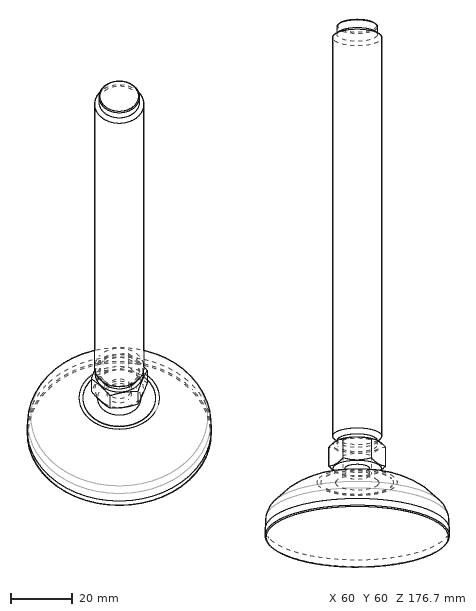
import cadquery as cq
import math

total_height = 176.7
base_diameter = 60.0
base_radius = base_diameter / 2

pad_height = 2.7
pad_chamfer = 0.4

wall_top_radius = 29.9
wall_top_z = 6.4
shoulder_mid_radius = 29.3
shoulder_mid_z = 8.0
dome_base_radius = 28.8
dome_base_z = 9.0
dome_mid_radius = 21.7
dome_mid_z = 15.4
dome_top_radius = 13.0
foot_top_z = 18.9
recess_radius = 11.8
recess_floor_z = 18.7

flare_radius = 7.0
flare_height = 2.7
neck_radius = 8.1 / 2
hex_width = 16.0
hex_bottom_z = 23.7
hex_top_z = 31.8
hex_chamfer_radius = 15.7 / 2
relief_radius = 13.0 / 2
rod_radius = 16.0 / 2
rod_bottom_z = 34.8
tip_radius = 13.3 / 2
tip_length = 3.0
tip_chamfer = 0.4
rod_top_bevel_height = 1.0
hex_corner_radius = hex_width / math.sqrt(3)
hex_chamfer_slope = math.tan(math.radians(30))


def revolve_z(profile):
    """Turn a closed profile of radius and height about the Z axis."""
    return profile.close().revolve(360, (0, 0, 0), (0, 1, 0))


def make_pad():
    disc = cq.Workplane("XY").circle(base_radius).extrude(pad_height)
    return disc.faces("<Z").chamfer(pad_chamfer)


def make_foot():
    profile = (
        cq.Workplane("XZ")
        .moveTo(0, pad_height)
        .lineTo(base_radius, pad_height)
        .lineTo(wall_top_radius, wall_top_z)
        .threePointArc((shoulder_mid_radius, shoulder_mid_z), (dome_base_radius, dome_base_z))
        .threePointArc((dome_mid_radius, dome_mid_z), (dome_top_radius, foot_top_z))
        .lineTo(recess_radius, foot_top_z)
        .lineTo(recess_radius, recess_floor_z)
        .lineTo(0, recess_floor_z)
    )
    return revolve_z(profile)


def make_hexagon():
    """Hexagon with corners on the Y axis, its corners turned down at both ends."""
    height = hex_top_z - hex_bottom_z
    hexagon = (
        cq.Workplane("XY", origin=(0, 0, hex_bottom_z))
        .polygon(6, 2 * hex_corner_radius)
        .extrude(height)
        .rotate((0, 0, 0), (0, 0, 1), 30)
    )
    chamfer_height = (hex_corner_radius - hex_chamfer_radius) * hex_chamfer_slope
    envelope = revolve_z(
        cq.Workplane("XZ")
        .moveTo(0, hex_bottom_z)
        .lineTo(hex_chamfer_radius, hex_bottom_z)
        .lineTo(hex_corner_radius, hex_bottom_z + chamfer_height)
        .lineTo(hex_corner_radius, hex_top_z - chamfer_height)
        .lineTo(hex_chamfer_radius, hex_top_z)
        .lineTo(0, hex_top_z)
    )
    return hexagon.intersect(envelope)


def make_stem():
    relief_taper = rod_radius - relief_radius
    tip_base_z = total_height - tip_length
    shaft = revolve_z(
        cq.Workplane("XZ")
        .moveTo(0, recess_floor_z)
        .lineTo(flare_radius, recess_floor_z)
        .lineTo(neck_radius, recess_floor_z + flare_height)
        .lineTo(neck_radius, hex_bottom_z)
        .lineTo(relief_radius, hex_bottom_z)
        .lineTo(relief_radius, rod_bottom_z - relief_taper)
        .lineTo(rod_radius, rod_bottom_z)
        .lineTo(rod_radius, tip_base_z - rod_top_bevel_height)
        .lineTo(tip_radius, tip_base_z)
        .lineTo(tip_radius, total_height - tip_chamfer)
        .lineTo(tip_radius - tip_chamfer, total_height)
        .lineTo(0, total_height)
    )
    return shaft.union(make_hexagon())


pad = make_pad()
foot = make_foot()
stem = make_stem()

result = cq.Compound.makeCompound([pad.val(), foot.val(), stem.val()])